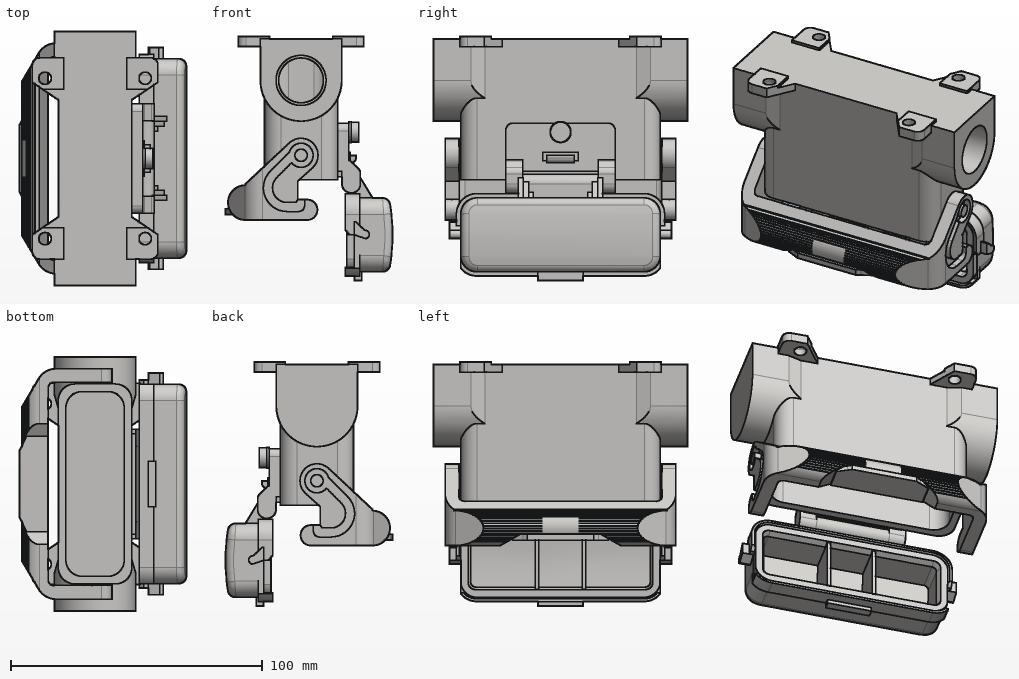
import cadquery as cq
import math


EPS = 0.01

HOUSING_LENGTH = 101.0
ENTRY_RADIUS = 16.2
ENTRY_Z = -16.45
BODY_HALF_X = 14.6
BODY_HALF_Y = 39.7
BODY_CORNER = 6.5
BODY_BOTTOM = -56.0
BOSS_ROOT_Y = 30.1
BOSS_FULL_Y = 35.6
WALL = 3.0
BORE_RADIUS = 8.9
MOUTH_RADIUS = 9.95
MOUTH_DEPTH = 12.5

EAR_X = 25.0
EAR_Y = 40.0
EAR_PAD = 12.5
EAR_PAD_HEIGHT = 1.05
EAR_THICKNESS = 3.1
EAR_TIP_Y = 30.3
EAR_ROOT_Y = 23.2
EAR_CORNER = 3.0
EAR_HOLE_X = 19.9
EAR_HOLE_Y = 31.85
EAR_HOLE_RADIUS = 2.45

PIVOT_Z = -46.2
PIVOT_EYE_RADIUS = 6.75
PIVOT_RECESS_RADIUS = 4.8
PIN_RADIUS = 2.45
WASHER_RADIUS = 3.4
LEVER_HALF_Y = 45.8
LEVER_INNER_Y = 40.3
LEVER_INNER_X = -18.6
LEVER_INNER_CORNER = 2.2
LEVER_BOTTOM = -71.95
HOOK_RADIUS = 4.1
HOOK_X = 2.45
THROAT_X = -1.3
THROAT_TOP = -56.5
GRIP_X = -22.1
GRIP_RADIUS = 6.95
GRIP_Z = LEVER_BOTTOM + GRIP_RADIUS
GRIP_END_Y = 29.9
CORNER_START_X = -15.5
CORNER_RADIUS = 8.0
CORNER_TURN = 59.5
GRIP_SLOPE = 43.0
GROOVE_COUNT = 16
GROOVE_FIRST = 105.1
GROOVE_STEP = 8.4
GROOVE_RADIUS = 0.1
BADGE_HALF_Y = 7.5
BADGE_FIRST_GROOVE = 5
TRACK_X = -5.55
TRACK_Z = -59.15
TRACK_OUTER = 9.4
TRACK_INNER = 5.8
TRACK_END_X = 1.4
TRACK_END_CORNER = 2.4
TRACK_MOUTH_BEVEL = 0.8
TRACK_DEPTH = 2.7
LIP_FRONT_X = -30.05
LIP_TOP = -67.4
LIP_BOTTOM = -69.8
LIP_PLAN = [(LIP_FRONT_X, 13.3), (-29.15, 15.0), (-27.2, 19.0), (LEVER_INNER_X, 19.0)]
RELIEF_TOP_HALF_Y = 16.0
RELIEF_BOTTOM_HALF_Y = 24.0

BRACKET_FACE_X = 18.95
BRACKET_TOP = -33.4
BRACKET_HALF_Y = 21.8
BRACKET_CORNER = 3.1
BRACKET_BOTTOM = -52.6
HINGE_X = 19.9
HINGE_Z = -57.5
HINGE_RADIUS = 3.7
KNUCKLE_INNER_Y = 15.0
SHOULDER = [(BRACKET_FACE_X, -47.9), (19.6, -48.4), (22.3, -51.0)]
SHOULDER_ARC_MID = (23.25, -52.05)
SHOULDER_END_Z = -53.5
SHIM_X = 16.2
SHIM_HALF_Y = 20.0
SHIM_BOTTOM = -54.8
SCREW_Z = -37.0
SCREW_RADIUS = 4.0
SCREW_END_X = 23.0
SCREW_FLANGE_RADIUS = 4.15
SCREW_FLANGE = 0.9
CATCH_PLATE_X = 19.6
CATCH_PLATE_HALF_Y = 7.0
CATCH_PLATE_TOP = -45.1
CATCH_PLATE_BOTTOM = -48.4
CATCH_X = 21.9
CATCH_HALF_Y = 5.5
CATCH_TOP = -46.2
CATCH_BOTTOM = -49.2
CATCH_CORNER = 2.0

COVER_HALF_Y = 39.65
COVER_TOP = -63.1
COVER_BOTTOM = -92.5
COVER_MID_Z = (COVER_TOP + COVER_BOTTOM) / 2
COVER_RIM_X = 18.15
COVER_END_X = 36.42
COVER_DOME_DROP = 1.5
COVER_EDGE = 3.2
FLANGE_FRONT_X = 17.5
FLANGE_BACK_X = 23.3
FLANGE_LIP_X = 21.2
FLANGE_RIM = 1.7
FLANGE_HALF_Y = COVER_HALF_Y + FLANGE_RIM
SKIRT_BEVEL = 0.6
FLANGE_SIDE_BOTTOM = -75.9
FLANGE_SIDE_END = -77.8
FOOT_TOP = -90.6
RIM_INSET = 0.15
COVER_INNER_Y = 36.7
COVER_INNER_BOTTOM = -89.45
COVER_INNER_CORNER = 3.0
OPENING_BEVEL = 1.05
OPENING_BEVEL_DEPTH = 2.5
COVER_FLOOR_X = 33.0
RIB_Y = 9.3
RIB_WIDTH = 1.45
RIB_TOP_X = 18.6
LUG_HALF_Y = 44.1
LUG_TOP = [(FLANGE_LIP_X, -72.7), (21.8, -72.7), (25.3, -76.0)]
LUG_TIP = (27.1, -77.6)
LUG_UNDERSIDE = (25.6, -79.3)
PULL_HALF_Y = 9.0
PULL_BACK_X = 24.2
PULL_BOTTOM = -95.98
HINGE_ARM_HALF_Y = 16.7
GUSSET_SLOPE = 0.6
GUSSET_STEPS = [(28.4, 14.7, 16.7), (27.4, 12.7, 14.7), (24.9, 10.9, 12.7)]


def box(x0, x1, y0, y1, z0, z1):
    return cq.Workplane("XY").box(x1 - x0, y1 - y0, z1 - z0, centered=False).translate((x0, y0, z0))


def prism_y(outline, y0, y1):
    """Sweep an XZ outline drawn on the XZ plane from y0 to y1."""
    return outline.extrude(-(y1 - y0)).translate((0, y0, 0))


def polygon_y(points, y0, y1):
    return prism_y(cq.Workplane("XZ").polyline(points).close(), y0, y1)


def cylinder_y(x, z, radius, y0, y1):
    return prism_y(cq.Workplane("XZ").center(x, z).circle(radius), y0, y1)


def cylinder_x(y, z, radius, x0, x1):
    return cq.Workplane("YZ").center(y, z).circle(radius).extrude(x1 - x0).translate((x0, 0, 0))


def rounded_block_x(half_y, z0, z1, corner, x0, x1):
    return box(x0, x1, -half_y, half_y, z0, z1).edges("|X").fillet(corner)


def both_ends(solid):
    """The solid together with its mirror image across Y = 0."""
    return solid.union(solid.mirror("XZ"))


def entry_boss():
    half_length = HOUSING_LENGTH / 2
    profile = (
        cq.Workplane("XZ")
        .moveTo(-ENTRY_RADIUS, 0)
        .lineTo(-ENTRY_RADIUS, ENTRY_Z)
        .threePointArc((0, ENTRY_Z - ENTRY_RADIUS), (ENTRY_RADIUS, ENTRY_Z))
        .lineTo(ENTRY_RADIUS, 0)
        .close()
    )
    flare = [
        (-BODY_HALF_X, -BOSS_ROOT_Y),
        (-ENTRY_RADIUS, -BOSS_FULL_Y),
        (-ENTRY_RADIUS, -half_length),
        (ENTRY_RADIUS, -half_length),
        (ENTRY_RADIUS, -BOSS_FULL_Y),
        (BODY_HALF_X, -BOSS_ROOT_Y),
    ]
    plan = cq.Workplane("XY").polyline(flare).close().extrude(2 * ENTRY_Z - EPS)
    return prism_y(profile, -half_length, -BOSS_ROOT_Y).intersect(plan)


def mounting_ear():
    """The ear at +X, +Y: a flat tab below the top face with a raised pad."""
    outline = [
        (0, EAR_Y),
        (EAR_X, EAR_Y),
        (EAR_X, EAR_TIP_Y),
        (BODY_HALF_X, EAR_ROOT_Y),
        (0, EAR_ROOT_Y),
    ]
    height = EAR_THICKNESS + EAR_PAD_HEIGHT
    ear = cq.Workplane("XY").polyline(outline).close().extrude(height)
    ear = ear.translate((0, 0, -EAR_THICKNESS))
    below_top = -EAR_THICKNESS / 2
    outer_corner = cq.selectors.NearestToPointSelector((EAR_X, EAR_Y, below_top))
    ear = ear.edges(outer_corner).fillet(EAR_CORNER)
    pad_x = EAR_X - EAR_PAD
    pad_y = EAR_Y - EAR_PAD
    ear = ear.cut(box(0, pad_x, 0, EAR_Y, 0, EAR_PAD_HEIGHT))
    ear = ear.cut(box(0, EAR_X, 0, pad_y, 0, EAR_PAD_HEIGHT))
    ear = ear.cut(box(0, BODY_HALF_X - WALL, 0, EAR_Y, -EAR_THICKNESS, 0))
    hole = cq.Workplane("XY").center(EAR_HOLE_X, EAR_HOLE_Y).circle(EAR_HOLE_RADIUS)
    return ear.cut(hole.extrude(2 * height, both=True))


def housing():
    body = box(-BODY_HALF_X, BODY_HALF_X, -BODY_HALF_Y, BODY_HALF_Y, BODY_BOTTOM, 0)
    body = body.edges("|Z").fillet(BODY_CORNER)
    body = body.union(both_ends(entry_boss()))
    ears = both_ends(mounting_ear())
    body = body.union(ears).union(ears.mirror("YZ"))
    cavity_x = BODY_HALF_X - WALL
    cavity_y = BODY_HALF_Y - WALL
    cavity = box(-cavity_x, cavity_x, -cavity_y, cavity_y, BODY_BOTTOM, -WALL)
    body = body.cut(cavity.edges("|Z").fillet(BODY_CORNER))
    end_y = -HOUSING_LENGTH / 2
    body = body.cut(cylinder_y(0, ENTRY_Z, BORE_RADIUS, end_y, -BOSS_ROOT_Y))
    return body.cut(cylinder_y(0, ENTRY_Z, MOUTH_RADIUS, end_y, end_y + MOUTH_DEPTH))


def lever_side_outline():
    eye = PIVOT_EYE_RADIUS * math.sqrt(0.5)
    slope = math.radians(GRIP_SLOPE)
    slope_x = -PIVOT_EYE_RADIUS * math.sin(slope)
    slope_z = PIVOT_Z + PIVOT_EYE_RADIUS * math.cos(slope)
    slope_end_z = slope_z - (slope_x - GRIP_X) * math.tan(slope)
    throat_bottom = LEVER_BOTTOM + 2 * HOOK_RADIUS
    return (
        cq.Workplane("XZ")
        .moveTo(slope_x, slope_z)
        .threePointArc((eye, PIVOT_Z + eye), (eye, PIVOT_Z - eye))
        .lineTo(THROAT_X, THROAT_TOP)
        .lineTo(THROAT_X, throat_bottom)
        .lineTo(HOOK_X, throat_bottom)
        .threePointArc((HOOK_X + HOOK_RADIUS, LEVER_BOTTOM + HOOK_RADIUS), (HOOK_X, LEVER_BOTTOM))
        .lineTo(GRIP_X, LEVER_BOTTOM)
        .threePointArc((GRIP_X - GRIP_RADIUS, GRIP_Z), (GRIP_X, GRIP_Z + GRIP_RADIUS))
        .lineTo(GRIP_X, slope_end_z)
        .close()
    )


def lever_plan():
    """Plan outline of the lever: rounded corners leading to slanted grip ends."""
    turn = math.radians(CORNER_TURN)

    def corner_point(angle):
        x = CORNER_START_X - CORNER_RADIUS * math.sin(angle)
        y = LEVER_HALF_Y - CORNER_RADIUS * (1 - math.cos(angle))
        return x, y

    mid_x, mid_y = corner_point(turn / 2)
    end_x, end_y = corner_point(turn)
    front_x = end_x - (end_y - GRIP_END_Y) / math.tan(turn)
    outer_x = PIVOT_EYE_RADIUS + EPS
    return (
        cq.Workplane("XY")
        .moveTo(outer_x, LEVER_HALF_Y)
        .lineTo(CORNER_START_X, LEVER_HALF_Y)
        .threePointArc((mid_x, mid_y), (end_x, end_y))
        .lineTo(front_x, GRIP_END_Y)
        .lineTo(front_x, -GRIP_END_Y)
        .lineTo(end_x, -end_y)
        .threePointArc((mid_x, -mid_y), (CORNER_START_X, -LEVER_HALF_Y))
        .lineTo(outer_x, -LEVER_HALF_Y)
        .close()
        .extrude(2 * LEVER_BOTTOM)
    )


def lever_track():
    """Recessed track in the -Y arm: a ring round the pin and a curved channel to the hook."""
    diagonal = math.sqrt(0.5)
    throat_bottom = LEVER_BOTTOM + 2 * HOOK_RADIUS
    ring_x = -PIVOT_RECESS_RADIUS * diagonal
    y0 = -LEVER_HALF_Y
    y1 = y0 + TRACK_DEPTH

    def wall_points(radius):
        """Points along one channel wall: ring end, start, middle and end of its arc."""
        start_x = TRACK_X - radius * diagonal
        start_z = TRACK_Z + radius * diagonal
        mid_x = TRACK_X - radius * math.cos(math.pi / 8)
        mid_z = TRACK_Z - radius * math.sin(math.pi / 8)
        ring_end = (ring_x, start_z + ring_x - start_x)
        return ring_end, (start_x, start_z), (mid_x, mid_z), (TRACK_X, TRACK_Z - radius)

    outer_ring, outer_start, outer_mid, outer_end = wall_points(TRACK_OUTER)
    inner_ring, inner_start, inner_mid, inner_end = wall_points(TRACK_INNER)
    outer_z = outer_end[1]
    bend = TRACK_END_CORNER
    bend_inset = bend * (1 - diagonal)
    channel = (
        cq.Workplane("XZ")
        .moveTo(*outer_ring)
        .lineTo(*outer_start)
        .threePointArc(outer_mid, outer_end)
        .lineTo(TRACK_END_X - bend, outer_z)
        .threePointArc((TRACK_END_X - bend_inset, outer_z + bend_inset), (TRACK_END_X, outer_z + bend))
        .lineTo(TRACK_END_X, throat_bottom)
        .lineTo(THROAT_X, throat_bottom)
        .lineTo(THROAT_X - TRACK_MOUTH_BEVEL, inner_end[1])
        .lineTo(*inner_end)
        .threePointArc(inner_mid, inner_start)
        .lineTo(*inner_ring)
        .close()
    )
    track = prism_y(channel, y0, y1)
    track = track.union(cylinder_y(0, PIVOT_Z, PIVOT_RECESS_RADIUS, y0, y1))
    return track.cut(cylinder_y(0, PIVOT_Z, PIN_RADIUS, y0, y1))


def grip_grooves():
    grooves = cq.Workplane("XY")
    for index in range(GROOVE_COUNT):
        angle = math.radians(GROOVE_FIRST + index * GROOVE_STEP)
        x = GRIP_X + GRIP_RADIUS * math.cos(angle)
        z = GRIP_Z + GRIP_RADIUS * math.sin(angle)
        end_y = BADGE_HALF_Y if index >= BADGE_FIRST_GROOVE else 0
        grooves = grooves.union(cylinder_y(x, z, GROOVE_RADIUS, end_y, LEVER_HALF_Y))
    return both_ends(grooves)


def lever_lip():
    """Finger lip under the grip, with bevelled ends."""
    outline = LIP_PLAN + [(x, -y) for x, y in reversed(LIP_PLAN)]
    lip = cq.Workplane("XY").polyline(outline).close().extrude(LIP_TOP - LIP_BOTTOM)
    return lip.translate((0, 0, LIP_BOTTOM))


def lever():
    solid = prism_y(lever_side_outline(), -LEVER_HALF_Y, LEVER_HALF_Y)
    opening = box(LEVER_INNER_X, EAR_X, -LEVER_INNER_Y, LEVER_INNER_Y, 2 * LEVER_BOTTOM, 0)
    opening = opening.edges("|Z and <X").fillet(LEVER_INNER_CORNER)
    solid = solid.intersect(lever_plan()).cut(opening)
    solid = solid.cut(both_ends(lever_track()))
    solid = solid.cut(grip_grooves())
    relief = [
        (-RELIEF_TOP_HALF_Y, LIP_TOP),
        (RELIEF_TOP_HALF_Y, LIP_TOP),
        (RELIEF_BOTTOM_HALF_Y, LEVER_BOTTOM),
        (-RELIEF_BOTTOM_HALF_Y, LEVER_BOTTOM),
    ]
    solid = solid.cut(cq.Workplane("YZ").polyline(relief).close().extrude(2 * LIP_FRONT_X))
    solid = solid.union(lever_lip())
    washer = cylinder_y(0, PIVOT_Z, WASHER_RADIUS, BODY_HALF_Y - EPS, LEVER_INNER_Y + EPS)
    return solid.union(both_ends(washer))


def bracket_block(x1, half_y, z0, z1):
    """Block on the bracket face, reaching x1."""
    return box(BRACKET_FACE_X, x1, -half_y, half_y, z0, z1)


def hinge_knuckle():
    """The bracket's hinge knuckle at +Y, with a sloping shoulder."""
    front = HINGE_X - HINGE_RADIUS
    back = HINGE_X + HINGE_RADIUS
    outline = (
        cq.Workplane("XZ")
        .moveTo(front, SHOULDER[0][1])
        .polyline(SHOULDER, includeCurrent=True)
        .threePointArc(SHOULDER_ARC_MID, (back, SHOULDER_END_Z))
        .lineTo(back, HINGE_Z)
        .threePointArc((HINGE_X, HINGE_Z - HINGE_RADIUS), (front, HINGE_Z))
        .close()
    )
    return prism_y(outline, KNUCKLE_INNER_Y, BRACKET_HALF_Y)


def hinge_bracket():
    root_x = BODY_HALF_X - EPS
    half_y = BRACKET_HALF_Y
    bracket = box(root_x, BRACKET_FACE_X, -half_y, half_y, BRACKET_BOTTOM, BRACKET_TOP)
    bracket = bracket.edges("|X and >Z").fillet(BRACKET_CORNER)
    shim = box(root_x, SHIM_X, -SHIM_HALF_Y, SHIM_HALF_Y, SHIM_BOTTOM, BRACKET_BOTTOM)
    bracket = bracket.union(shim).union(both_ends(hinge_knuckle()))
    screw = cylinder_x(0, SCREW_Z, SCREW_RADIUS, BRACKET_FACE_X, SCREW_END_X)
    screw_flange_x = BRACKET_FACE_X + SCREW_FLANGE
    screw = screw.union(cylinder_x(0, SCREW_Z, SCREW_FLANGE_RADIUS, BRACKET_FACE_X, screw_flange_x))
    plate = bracket_block(CATCH_PLATE_X, CATCH_PLATE_HALF_Y, CATCH_PLATE_BOTTOM, CATCH_PLATE_TOP)
    catch = bracket_block(CATCH_X, CATCH_HALF_Y, CATCH_BOTTOM, CATCH_TOP)
    catch = catch.edges("|Y and >X and <Z").fillet(CATCH_CORNER)
    return bracket.union(screw).union(plate).union(catch)


def dome_profile(x0, x1):
    """Full-length prism from x0 to the domed end, whose crest is at x1."""
    outline = (
        cq.Workplane("XZ")
        .moveTo(x0, COVER_TOP)
        .lineTo(x1 - COVER_DOME_DROP, COVER_TOP)
        .threePointArc((x1, COVER_MID_Z), (x1 - COVER_DOME_DROP, COVER_BOTTOM))
        .lineTo(x0, COVER_BOTTOM)
        .close()
    )
    return prism_y(outline, -COVER_HALF_Y, COVER_HALF_Y)


def tapered_block_x(half_y, half_z, corner, x0, x1, taper):
    """Rounded block about the cover axis, narrowing from x0 to x1 by the taper angle."""
    section = cq.Sketch().rect(2 * half_y, 2 * half_z).vertices().fillet(corner)
    plane = cq.Workplane("YZ", origin=(x0, 0, COVER_MID_Z))
    return plane.placeSketch(section).extrude(x1 - x0, taper=taper)


def cover_shell():
    shell = rounded_block_x(COVER_HALF_Y, COVER_BOTTOM, COVER_TOP, BODY_CORNER, COVER_RIM_X, COVER_END_X)
    shell = shell.intersect(dome_profile(COVER_RIM_X, COVER_END_X))
    return shell.faces(">X").edges().fillet(COVER_EDGE)


def cover_flange():
    """Raised rim: wide beside the hinge, flush with the cover sides further down, with a foot."""
    flange_bottom = COVER_BOTTOM - FLANGE_RIM
    flange = rounded_block_x(
        FLANGE_HALF_Y,
        flange_bottom,
        COVER_TOP + FLANGE_RIM,
        BODY_CORNER + FLANGE_RIM,
        FLANGE_FRONT_X,
        FLANGE_BACK_X,
    )
    slant = [
        (FLANGE_FRONT_X, FLANGE_SIDE_BOTTOM),
        (FLANGE_FRONT_X + FLANGE_SIDE_BOTTOM - FLANGE_SIDE_END, FLANGE_SIDE_END),
    ]
    below_side = slant + [
        (FLANGE_BACK_X, FLANGE_SIDE_END),
        (FLANGE_BACK_X, flange_bottom),
        (FLANGE_FRONT_X, flange_bottom),
    ]
    flange = flange.cut(both_ends(polygon_y(below_side, COVER_HALF_Y, FLANGE_HALF_Y)))
    setback = slant + [
        (FLANGE_LIP_X, FLANGE_SIDE_END),
        (FLANGE_LIP_X, FOOT_TOP),
        (FLANGE_FRONT_X, FOOT_TOP),
    ]
    flange = flange.cut(polygon_y(setback, -FLANGE_HALF_Y, FLANGE_HALF_Y))
    depth = COVER_RIM_X - FLANGE_FRONT_X
    recess = tapered_block_x(
        COVER_HALF_Y + SKIRT_BEVEL,
        (COVER_TOP - COVER_BOTTOM) / 2 + SKIRT_BEVEL,
        BODY_CORNER + SKIRT_BEVEL,
        FLANGE_FRONT_X,
        COVER_RIM_X,
        math.degrees(math.atan(SKIRT_BEVEL / depth)),
    )
    return flange.cut(recess)


def cover_cavity():
    half_z = COVER_MID_Z - COVER_INNER_BOTTOM
    bevel_angle = math.degrees(math.atan(OPENING_BEVEL / OPENING_BEVEL_DEPTH))
    mouth_end_x = COVER_RIM_X + OPENING_BEVEL_DEPTH
    mouth = tapered_block_x(
        COVER_INNER_Y, half_z, COVER_INNER_CORNER, COVER_RIM_X, mouth_end_x, bevel_angle
    )
    chamber = rounded_block_x(
        COVER_INNER_Y - OPENING_BEVEL,
        COVER_MID_Z - half_z + OPENING_BEVEL,
        COVER_MID_Z + half_z - OPENING_BEVEL,
        COVER_INNER_CORNER - OPENING_BEVEL,
        COVER_RIM_X,
        COVER_FLOOR_X,
    )
    cavity = mouth.union(chamber)
    cavity = cavity.intersect(dome_profile(COVER_RIM_X, COVER_FLOOR_X))
    half = RIB_WIDTH / 2
    rib = box(RIB_TOP_X, COVER_FLOOR_X, RIB_Y - half, RIB_Y + half, COVER_BOTTOM, COVER_TOP)
    return cavity.cut(both_ends(rib))


def locking_lug():
    outline = (
        cq.Workplane("XZ")
        .polyline(LUG_TOP)
        .threePointArc(LUG_TIP, LUG_UNDERSIDE)
        .lineTo(FLANGE_LIP_X, FLANGE_SIDE_END)
        .close()
    )
    return prism_y(outline, COVER_HALF_Y - EPS, LUG_HALF_Y)


def cover_hinge():
    """Middle hinge knuckle, the arm joining it to the cover, and the stepped gussets behind it."""
    back = HINGE_X + HINGE_RADIUS
    root_z = COVER_TOP - EPS
    hinge = cylinder_y(HINGE_X, HINGE_Z, HINGE_RADIUS, -KNUCKLE_INNER_Y, KNUCKLE_INNER_Y)
    hinge = hinge.union(box(HINGE_X, back, -HINGE_ARM_HALF_Y, HINGE_ARM_HALF_Y, root_z, HINGE_Z))
    for reach_x, y0, y1 in GUSSET_STEPS:
        gusset_top = COVER_TOP + (reach_x - back) / GUSSET_SLOPE
        wedge = [
            (HINGE_X, root_z),
            (reach_x, root_z),
            (back, gusset_top),
            (HINGE_X, gusset_top),
        ]
        hinge = hinge.union(both_ends(polygon_y(wedge, y0, y1)))
    return hinge


def cover():
    solid = cover_shell().union(cover_flange()).cut(cover_cavity())
    inset_y = COVER_HALF_Y - RIM_INSET
    rim_inset = box(FLANGE_FRONT_X, FLANGE_LIP_X, inset_y, COVER_HALF_Y, FOOT_TOP, FLANGE_SIDE_END)
    solid = solid.cut(both_ends(rim_inset))
    solid = solid.union(both_ends(locking_lug()))
    pull = box(FLANGE_LIP_X, PULL_BACK_X, -PULL_HALF_Y, PULL_HALF_Y, PULL_BOTTOM, COVER_BOTTOM + EPS)
    return solid.union(pull).union(cover_hinge())


result = housing().union(lever()).union(hinge_bracket()).union(cover())